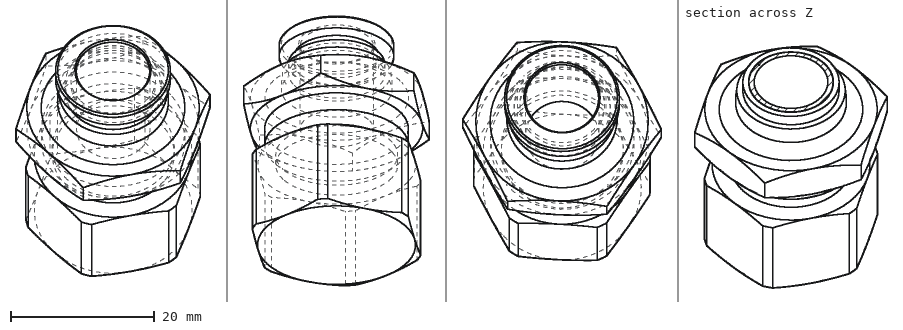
import cadquery as cq
import math

body_hex_top = 12.9
neck_top = 14.5
barrel_cone_top = 16.0
nut_bottom = 18.7
nut_thickness = 5.0
nut_top = nut_bottom + nut_thickness
shoulder_top = 24.95
cap_taper_start = 25.95
cap_top = 27.45
ring_top = 29.1
collar_bottom = 30.25
total_height = 32.3

neck_radius = 8.5
barrel_radius = 10.0
cap_radius = 7.7
cap_top_radius = 7.55
ring_radius = 6.7
sleeve_radius = 5.9
collar_radius = 8.0
collar_chamfer = 0.3

hex_sides = 6
body_hex_flats = 22.0
body_corner_radius = 12.3
body_chamfer_angle = 20.0
nut_flats = 24.0
nut_corner_radius = nut_flats / math.sqrt(3)
nut_chamfer_angle = 30.0

bore_radius = 5.1
bore_mouth_radius = 5.3
bore_mouth_depth = 0.3
bore_depth = total_height - nut_bottom


def revolve_profile(points):
    """Solid of revolution about Z from (radius, height) points."""
    return cq.Workplane("XZ").polyline(points).close().revolve(360, (0, 0), (0, 1))


def chamfered_hexagon(flats, corner_radius, bottom, top, chamfer_angle):
    """Hexagonal prism with corners on +X and -X, trimmed by a cylinder and a cone at each end."""
    face_radius = flats / 2
    drop = (corner_radius - face_radius) * math.tan(math.radians(chamfer_angle))
    prism = (
        cq.Workplane("XY")
        .workplane(offset=bottom)
        .polygon(hex_sides, 2 * flats / math.sqrt(3))
        .extrude(top - bottom)
    )
    envelope = revolve_profile([
        (0, bottom),
        (face_radius, bottom),
        (corner_radius, bottom + drop),
        (corner_radius, top - drop),
        (face_radius, top),
        (0, top),
    ])
    return prism.intersect(envelope)


def turned_core():
    """Neck, barrel, shoulder, stepped cap and release collar above the body hexagon."""
    return revolve_profile([
        (0, 0),
        (neck_radius, 0),
        (neck_radius, neck_top),
        (barrel_radius, barrel_cone_top),
        (barrel_radius, nut_top),
        (cap_radius, shoulder_top),
        (cap_radius, cap_taper_start),
        (cap_top_radius, cap_top),
        (ring_radius, cap_top),
        (ring_radius, ring_top),
        (sleeve_radius, ring_top),
        (sleeve_radius, collar_bottom),
        (collar_radius, collar_bottom),
        (collar_radius, total_height - collar_chamfer),
        (collar_radius - collar_chamfer, total_height),
        (0, total_height),
    ])


def tube_socket():
    """Blind bore from the top with a slightly flared mouth."""
    floor = total_height - bore_depth
    return revolve_profile([
        (0, floor),
        (bore_radius, floor),
        (bore_radius, total_height - bore_mouth_depth),
        (bore_mouth_radius, total_height),
        (0, total_height),
    ])


body_hex = chamfered_hexagon(body_hex_flats, body_corner_radius, 0, body_hex_top, body_chamfer_angle)
bulkhead_nut = chamfered_hexagon(nut_flats, nut_corner_radius, nut_bottom, nut_top, nut_chamfer_angle)

result = turned_core().union(body_hex).union(bulkhead_nut).cut(tube_socket())